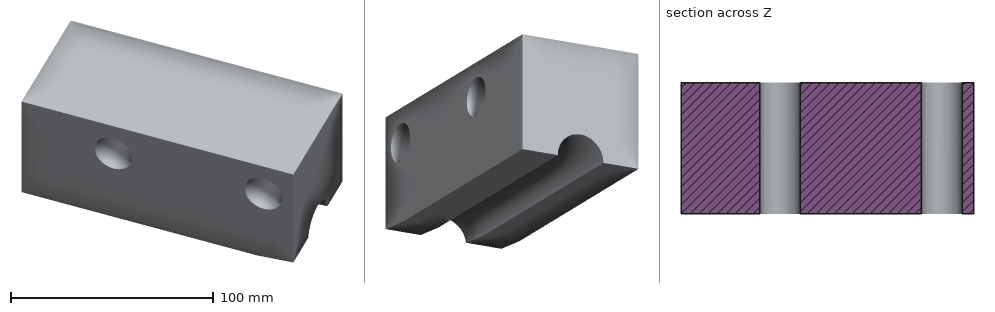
import cadquery as cq

length = 145.0
width = 65.0
height = 60.0

hole_diameter = 20.0
hole_end_distance = 16.0
hole_spacing = 80.0
hole_top_distance = 18.0

groove_radius = 12.8

relief_length = 19.0
relief_rise = 1.7


def make_block():
    """Extrude the side outline, including the end relief, across the width."""
    return (
        cq.Workplane("XZ")
        .moveTo(0, 0)
        .lineTo(length - relief_length, 0)
        .lineTo(length, relief_rise)
        .lineTo(length, height)
        .lineTo(0, height)
        .close()
        .extrude(width / 2, both=True)
    )


def make_cross_holes():
    """Two through holes level with each other near the top."""
    last_hole_x = length - hole_end_distance
    hole_z = height - hole_top_distance
    return (
        cq.Workplane("XZ")
        .pushPoints([(last_hole_x - hole_spacing, hole_z), (last_hole_x, hole_z)])
        .circle(hole_diameter / 2)
        .extrude(width / 2, both=True)
    )


def make_groove():
    """Full-length cylinder centred on the bottom face."""
    return cq.Workplane("YZ").circle(groove_radius).extrude(length)


result = make_block().cut(make_cross_holes()).cut(make_groove())